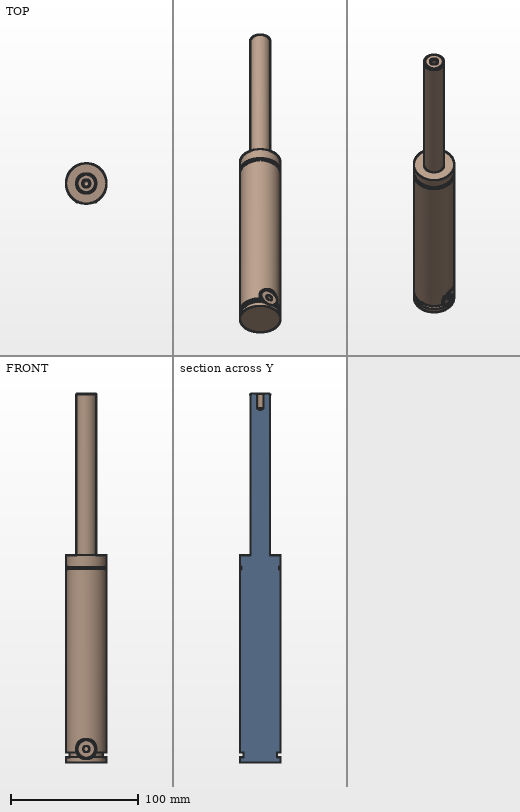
import cadquery as cq
import math

total_height = 290.0
body_diameter = 32.0
body_radius = body_diameter / 2
body_top = 163.0

rod_diameter = 16.0
rod_chamfer = 1.02
rod_hole_diameter = 5.0
rod_hole_depth = 11.5
rod_countersink_diameter = 6.5
countersink_angle = 90
drill_tip_angle = 118

lower_groove_bottom = 4.4
lower_groove_top = 7.8
lower_groove_depth = 2.5
collar_height = 10.2
collar_groove_width = 1.7
collar_groove_depth = 1.0

port_height = 10.7
port_diameter = 16.0
plug_face_diameter = 14.0
plug_chamfer = (port_diameter - plug_face_diameter) / 2
plug_recess = 1.0
plug_length = 8.7
port_hole_diameter = 5.0
port_hole_depth = 5.8


def ring_groove(bottom, top, depth):
    """Ring that cuts a square groove into the body."""
    return (
        cq.Workplane("XY", origin=(0, 0, bottom))
        .circle(body_radius + depth)
        .circle(body_radius - depth)
        .extrude(top - bottom)
    )


def port_cylinder(diameter, start_y, length):
    """Cylinder on the port axis, running inward from start_y."""
    return (
        cq.Workplane("XZ", origin=(0, start_y, port_height))
        .circle(diameter / 2)
        .extrude(-length)
    )


body = cq.Workplane("XY").circle(body_radius).extrude(body_top)
body = body.cut(ring_groove(lower_groove_bottom, lower_groove_top, lower_groove_depth))
collar_groove_top = body_top - collar_height + collar_groove_width / 2
collar_groove_bottom = collar_groove_top - collar_groove_width
body = body.cut(ring_groove(collar_groove_bottom, collar_groove_top, collar_groove_depth))

rod = (
    cq.Workplane("XY", origin=(0, 0, body_top))
    .circle(rod_diameter / 2)
    .extrude(total_height - body_top)
    .faces(">Z")
    .chamfer(rod_chamfer)
    .faces(">Z")
    .workplane()
    .cskHole(rod_hole_diameter, rod_countersink_diameter, countersink_angle, rod_hole_depth)
)

rod_hole_radius = rod_hole_diameter / 2
tip_depth = rod_hole_radius / math.tan(math.radians(drill_tip_angle / 2))
drill_tip = cq.Workplane(
    cq.Solid.makeCone(
        rod_hole_radius,
        0,
        tip_depth,
        pnt=cq.Vector(0, 0, total_height - rod_hole_depth),
        dir=cq.Vector(0, 0, -1),
    )
)
rod = rod.cut(drill_tip)

plug_face_y = -body_radius + plug_recess
plug = port_cylinder(port_diameter, plug_face_y, plug_length).faces("<Y").chamfer(plug_chamfer)
port_bore = port_cylinder(port_diameter, -body_radius, plug_recess + plug_length)
port_hole = port_cylinder(port_hole_diameter, plug_face_y, port_hole_depth)

result = body.cut(port_bore).union(plug).cut(port_hole).union(rod)